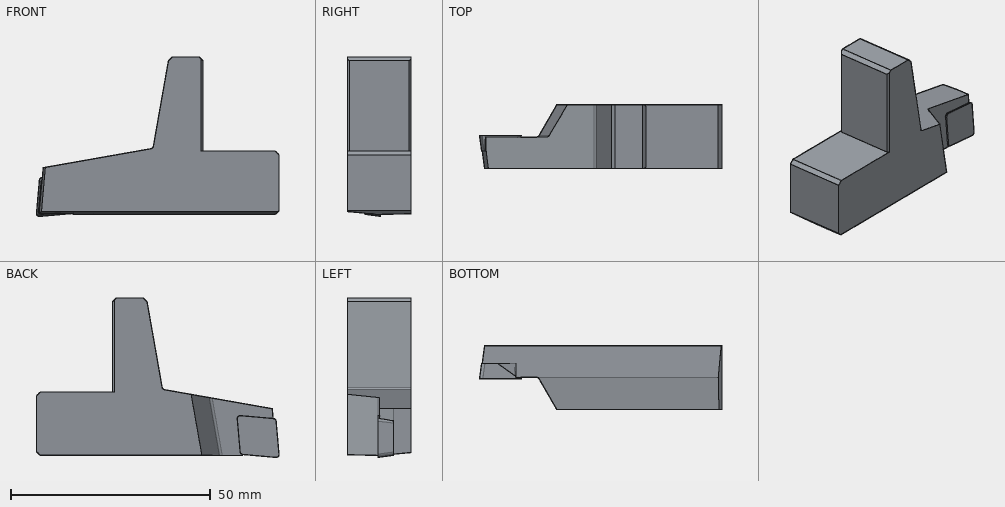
import cadquery as cq
import math

LENGTH = 60.75
HEIGHT = 39.95
WIDTH = 16.0
KEEL_Z = 0.5
FRONT_EDGE_Z = 1.2
BACK_EDGE_Z = 0.65
BAR_TOP_Z = 16.4
NOSE_TOP_Z = 12.3
NOSE_TOP_X = 2.25
NOSE_SLOPE = 10.0
CORNER_X = 29.15
CORNER_RADIUS = 0.7
POST_BACK_X = 41.7
EDGE_CHAMFER = 1.0
POST_SIDE_CHAMFER = 0.5

SHELF_Y = 7.9
SHOULDER_INNER_X = 14.7
SHOULDER_OUTER_X = 19.3
SHOULDER_RADIUS = 0.8

INSERT_SIDE = 9.85
INSERT_BACK_Y = 8.3
INSERT_FRONT_Y = 4.45
INSERT_LEAN = 5.0
INSERT_RADIUS = 0.8
FLANK_ANGLE = 7.0
UNDERCUT_END_X = 9.2

CLEARANCE = 6.1


def slope(degrees):
    return math.tan(math.radians(degrees))


def leaning_prism(points, lean, base_z):
    """Upright prism on an XY outline at base_z, leaning toward +X as it rises."""
    outline = cq.Workplane("XY").workplane(offset=base_z).polyline(points).close()
    rise = cq.Vector(slope(lean) * HEIGHT, 0, HEIGHT)
    return cq.Workplane(cq.Solid.extrudeLinear(outline.val(), [], rise))


def holder_blank():
    """Side outline through the full width."""
    corner_z = NOSE_TOP_Z + (CORNER_X - NOSE_TOP_X) * slope(NOSE_SLOPE)
    nose_start_z = NOSE_TOP_Z - (NOSE_TOP_X + CLEARANCE) * slope(NOSE_SLOPE)
    chamfer_foot_z = HEIGHT - EDGE_CHAMFER
    chamfer_foot_x = CORNER_X + (chamfer_foot_z - corner_z) * slope(NOSE_SLOPE)
    blank = (
        cq.Workplane("XZ")
        .moveTo(-CLEARANCE, KEEL_Z)
        .lineTo(LENGTH - EDGE_CHAMFER, KEEL_Z)
        .lineTo(LENGTH, KEEL_Z + EDGE_CHAMFER)
        .lineTo(LENGTH, BAR_TOP_Z - EDGE_CHAMFER)
        .lineTo(LENGTH - EDGE_CHAMFER, BAR_TOP_Z)
        .lineTo(POST_BACK_X, BAR_TOP_Z)
        .lineTo(POST_BACK_X, chamfer_foot_z)
        .lineTo(POST_BACK_X - EDGE_CHAMFER, HEIGHT)
        .lineTo(chamfer_foot_x + EDGE_CHAMFER, HEIGHT)
        .lineTo(chamfer_foot_x, chamfer_foot_z)
        .lineTo(CORNER_X, corner_z)
        .lineTo(-CLEARANCE, nose_start_z)
        .close()
        .extrude(-WIDTH)
    )
    nose_corner = cq.selectors.NearestToPointSelector((CORNER_X, WIDTH / 2, corner_z))
    return blank.edges(nose_corner).fillet(CORNER_RADIUS)


def keel_envelope():
    """Full-length block whose underside falls from both faces to the keel line."""
    return (
        cq.Workplane("YZ")
        .workplane(offset=-CLEARANCE)
        .polyline([
            (0, FRONT_EDGE_Z),
            (SHELF_Y, KEEL_Z),
            (WIDTH, BACK_EDGE_Z),
            (WIDTH, HEIGHT),
            (0, HEIGHT),
        ])
        .close()
        .extrude(LENGTH + CLEARANCE)
    )


def post_side_chamfer(face_y, inward):
    """Wedge along one upright rear edge of the post; inward is +1 or -1 in Y."""
    return (
        cq.Workplane("XY")
        .workplane(offset=BAR_TOP_Z)
        .polyline([
            (POST_BACK_X - POST_SIDE_CHAMFER, face_y),
            (POST_BACK_X, face_y),
            (POST_BACK_X, face_y + inward * POST_SIDE_CHAMFER),
        ])
        .close()
        .extrude(HEIGHT - BAR_TOP_Z)
    )


def nose_end_cutter():
    """Trims the nose: relieved beside the insert, square across Y behind it."""
    front_x = NOSE_TOP_X - NOSE_TOP_Z * slope(INSERT_LEAN)
    back_x = front_x - INSERT_FRONT_Y * slope(FLANK_ANGLE)
    return leaning_prism(
        [
            (-2 * CLEARANCE, 0),
            (front_x, 0),
            (back_x, INSERT_FRONT_Y),
            (back_x, WIDTH),
            (-2 * CLEARANCE, WIDTH),
        ],
        INSERT_LEAN,
        0,
    )


def underside_relief():
    """Levels the underside behind the insert's front face, along the insert."""
    fall = (FRONT_EDGE_Z - KEEL_Z) / SHELF_Y
    relief_z = FRONT_EDGE_Z - fall * INSERT_FRONT_Y
    return (
        cq.Workplane("XY", origin=(-CLEARANCE, INSERT_FRONT_Y, 0))
        .box(UNDERCUT_END_X + CLEARANCE, WIDTH, relief_z, centered=False)
    )


def shelf_cutter():
    """Clears the back of the nose up to the slanted shoulder."""
    cutter = leaning_prism(
        [
            (-2 * CLEARANCE, SHELF_Y),
            (SHOULDER_INNER_X, SHELF_Y),
            (SHOULDER_OUTER_X, WIDTH),
            (-2 * CLEARANCE, WIDTH),
        ],
        NOSE_SLOPE,
        KEEL_Z,
    )
    middle_x = SHOULDER_INNER_X + slope(NOSE_SLOPE) * HEIGHT / 2
    root = cq.selectors.NearestToPointSelector((middle_x, SHELF_Y, KEEL_Z + HEIGHT / 2))
    return cutter.edges(root).fillet(SHOULDER_RADIUS)


def make_insert():
    """Rhombic insert whose rounded lower left corner touches X = 0 and Z = 0."""
    half_corner = math.radians(45 - INSERT_LEAN)
    center_inset = INSERT_RADIUS / math.sin(half_corner) * math.cos(math.radians(45))
    tip = INSERT_RADIUS - center_inset
    long_step = INSERT_SIDE * math.cos(math.radians(INSERT_LEAN))
    short_step = INSERT_SIDE * math.sin(math.radians(INSERT_LEAN))
    far = tip + long_step + short_step
    blank = (
        cq.Workplane("XZ", origin=(0, INSERT_BACK_Y, 0))
        .polyline([
            (tip, tip),
            (tip + long_step, tip + short_step),
            (far, far),
            (tip + short_step, tip + long_step),
        ])
        .close()
        .extrude(INSERT_BACK_Y - INSERT_FRONT_Y, taper=FLANK_ANGLE)
    )
    return blank.edges("not #Y").fillet(INSERT_RADIUS)


def make_holder(insert):
    holder = holder_blank().intersect(keel_envelope())
    for face_y, inward in ((0, 1), (WIDTH, -1)):
        holder = holder.cut(post_side_chamfer(face_y, inward))
    holder = holder.cut(nose_end_cutter())
    holder = holder.cut(underside_relief())
    holder = holder.cut(shelf_cutter())
    return holder.cut(insert)


insert = make_insert()
holder = make_holder(insert)

result = cq.Compound.makeCompound([holder.solids().val(), insert.solids().val()])